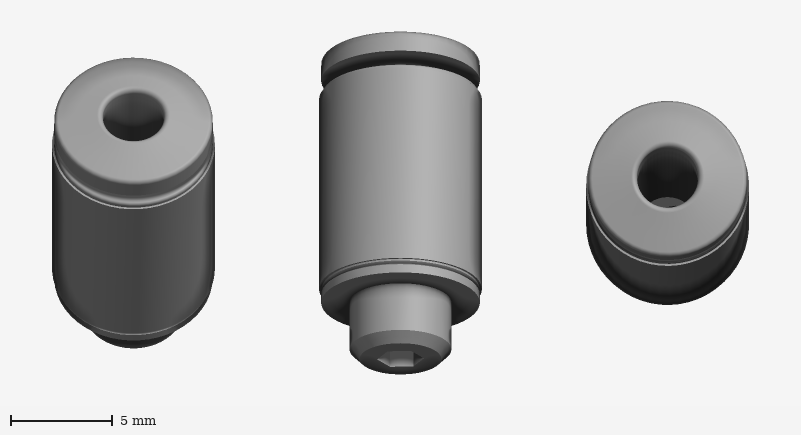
import cadquery as cq
import math

height = 16.2
body_diameter = 8.0
collar_diameter = 7.8
neck_diameter = 4.4
stud_diameter = 5.0
bore_diameter = 3.0
hex_across_flats = 2.0

flange_bottom = 2.98
groove_bottom = 3.42
groove_top = 3.61
body_bottom = 3.71
body_top = 13.8
shoulder_top = 14.08
cap_bottom = 14.77

stud_chamfer = 0.5
groove_depth = 0.13
shoulder_fillet = 0.15
neck_fillet = 0.34
cap_fillet = 0.23
mouth_fillet = 0.25
cap_slope = math.radians(10)

body_radius = body_diameter / 2
collar_radius = collar_diameter / 2
neck_radius = neck_diameter / 2
stud_radius = stud_diameter / 2
bore_radius = bore_diameter / 2
groove_radius = collar_radius - groove_depth
groove_middle = (groove_bottom + groove_top) / 2

mouth_center_radius = bore_radius + mouth_fillet
mouth_center_level = height - mouth_fillet
rim_center_radius = collar_radius - cap_fillet
cone_run = rim_center_radius - mouth_center_radius
rim_center_level = mouth_center_level + (
    (mouth_fillet - cap_fillet) - cone_run * math.sin(cap_slope)
) / math.cos(cap_slope)

bore_floor = flange_bottom


def arc(profile, center, radius, start_angle, end_angle):
    """Add an arc from the current point; angles in degrees from the outward radial direction."""
    def point_at(angle):
        turn = math.radians(angle)
        return (center[0] + radius * math.cos(turn), center[1] + radius * math.sin(turn))

    return profile.threePointArc(point_at((start_angle + end_angle) / 2), point_at(end_angle))


def make_turned_body():
    """Revolve the half section, including the bore with its rounded mouth."""
    profile = (
        cq.Workplane("XZ")
        .moveTo(0, 0)
        .lineTo(stud_radius - stud_chamfer, 0)
        .lineTo(stud_radius, stud_chamfer)
        .lineTo(stud_radius, flange_bottom)
        .lineTo(collar_radius, flange_bottom)
        .lineTo(collar_radius, groove_bottom)
        .lineTo(groove_radius, groove_middle)
        .lineTo(collar_radius, groove_top)
        .lineTo(collar_radius, body_bottom)
        .lineTo(body_radius, body_bottom)
        .lineTo(body_radius, body_top)
        .lineTo(collar_radius, body_top)
        .lineTo(collar_radius, shoulder_top - shoulder_fillet)
    )
    shoulder_center = (collar_radius - shoulder_fillet, shoulder_top - shoulder_fillet)
    profile = arc(profile, shoulder_center, shoulder_fillet, 0, 90)

    profile = profile.lineTo(neck_radius, shoulder_top).lineTo(neck_radius, cap_bottom - neck_fillet)
    flare_center = (neck_radius + neck_fillet, cap_bottom - neck_fillet)
    profile = arc(profile, flare_center, neck_fillet, 180, 90)

    cone_normal = 90 - math.degrees(cap_slope)
    cone_inner_edge = (
        mouth_center_radius + mouth_fillet * math.sin(cap_slope),
        mouth_center_level + mouth_fillet * math.cos(cap_slope),
    )
    profile = profile.lineTo(collar_radius, cap_bottom).lineTo(collar_radius, rim_center_level)
    profile = arc(profile, (rim_center_radius, rim_center_level), cap_fillet, 0, cone_normal)
    profile = profile.lineTo(*cone_inner_edge)
    profile = arc(profile, (mouth_center_radius, mouth_center_level), mouth_fillet, cone_normal, 180)

    profile = profile.lineTo(bore_radius, bore_floor).lineTo(0, bore_floor).close()
    return profile.revolve(360, (0, 0, 0), (0, 1, 0))


def make_hex_socket():
    """Hexagon through the stud, with two corners on the Y axis."""
    across_corners = hex_across_flats / math.cos(math.radians(30))
    return (
        cq.Workplane("XY")
        .transformed(rotate=(0, 0, 90))
        .polygon(6, across_corners)
        .extrude(bore_floor)
    )


result = make_turned_body().cut(make_hex_socket())